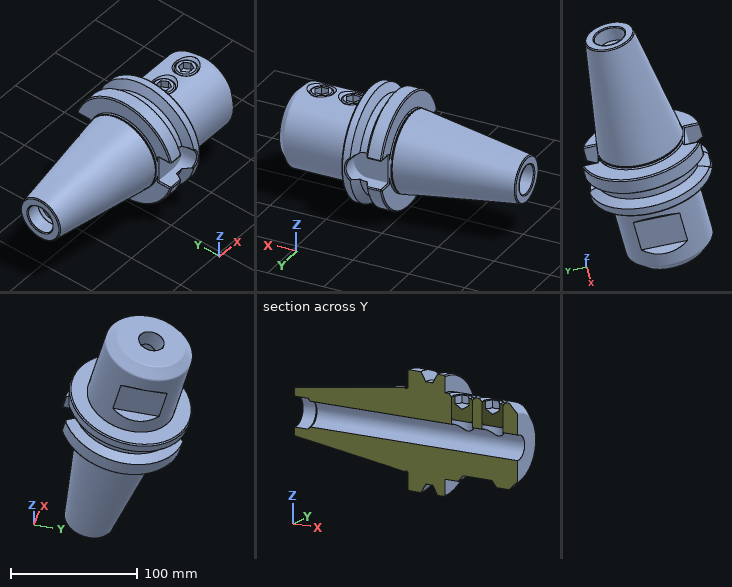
import cadquery as cq
import math

total_length = 206.8
gauge_x = 102.5
flange_start_x = 104.8
flange_end_x = 139.8
groove_centre_x = 125.0
groove_floor_width = 6.2

gauge_diameter = 70.1
neck_diameter = 68.5
flange_diameter = 100.0
groove_diameter = 84.8
nose_diameter = 71.5

taper_ratio = 7 / 24
groove_wall_angle = 30.0
tip_chamfer = 0.8
neck_fillet = 1.0
flange_chamfer = 1.0
nose_chamfer = 7.9
nose_edge_fillet = 1.9

bore_diameter = 20.7
pilot_diameter = 25.0
pilot_depth = 12.8
pilot_mouth_chamfer = 0.8

slot_width = 25.6
slot_floor_y = 35.4
slot_end_x = 136.0
slot_rim_chamfer = 1.0
slot_floor_fillet = 0.6
slot_open_x = gauge_x
edge_tolerance = 0.02

first_screw_x = 155.0
screw_spacing = 28.1
screw_diameter = 19.0
screw_length = 20.0
screw_top_z = 34.3
screw_chamfer = 1.2
countersink_diameter = 24.0
socket_across_flats = 10.8
socket_depth = 6.2
socket_point_angle = 118.0

flat_start_x = 156.1
flat_end_x = 182.6
flat_z = -30.5
flat_run_out = 4.3

flange_radius = flange_diameter / 2
nose_radius = nose_diameter / 2
neck_radius = neck_diameter / 2
gauge_radius = gauge_diameter / 2
tip_radius = gauge_radius - taper_ratio * gauge_x / 2
bore_radius = bore_diameter / 2
screw_radius = screw_diameter / 2
slot_half_width = slot_width / 2
screw_positions_x = [first_screw_x, first_screw_x + screw_spacing]


def revolve_about_x(profile):
    return profile.close().revolve(360, (0, 0, 0), (1, 0, 0))


def make_taper_and_flange():
    groove_radius = groove_diameter / 2
    wall_run = (flange_radius - groove_radius) * math.tan(math.radians(groove_wall_angle))
    floor_start_x = groove_centre_x - groove_floor_width / 2
    floor_end_x = groove_centre_x + groove_floor_width / 2
    profile = (
        cq.Workplane("XY")
        .lineTo(0, tip_radius - tip_chamfer)
        .lineTo(tip_chamfer, tip_radius + tip_chamfer * taper_ratio / 2)
        .lineTo(gauge_x, gauge_radius)
        .lineTo(gauge_x, neck_radius)
        .lineTo(flange_start_x - neck_fillet, neck_radius)
        .tangentArcPoint((flange_start_x, neck_radius + neck_fillet), relative=False)
        .lineTo(flange_start_x, flange_radius - flange_chamfer)
        .lineTo(flange_start_x + flange_chamfer, flange_radius)
        .lineTo(floor_start_x - wall_run, flange_radius)
        .lineTo(floor_start_x, groove_radius)
        .lineTo(floor_end_x, groove_radius)
        .lineTo(floor_end_x + wall_run, flange_radius)
        .lineTo(flange_end_x - flange_chamfer, flange_radius)
        .lineTo(flange_end_x, flange_radius - flange_chamfer)
        .lineTo(flange_end_x, 0)
    )
    return revolve_about_x(profile)


def make_slot_cutter(side):
    """Round-ended slot, open towards -X and outwards; side is -1 or +1 along Y."""
    arc_centre_x = slot_end_x - slot_half_width
    floor_face = "<Y" if side > 0 else ">Y"
    return (
        cq.Workplane("XZ", origin=(0, side * slot_floor_y, 0))
        .moveTo(slot_open_x, slot_half_width)
        .lineTo(arc_centre_x, slot_half_width)
        .threePointArc((slot_end_x, 0), (arc_centre_x, -slot_half_width))
        .lineTo(slot_open_x, -slot_half_width)
        .close()
        .extrude(-side * flange_radius)
        .faces(floor_face).edges().fillet(slot_floor_fillet)
    )


def is_slot_rim(edge):
    """True for slot edges on the flange end face or on the outside of the flange."""
    centre = edge.Center()
    if abs(centre.z) > slot_width:
        return False
    above_floor = abs(centre.y) > slot_floor_y + slot_floor_fillet
    on_end_face = abs(centre.x - flange_start_x) < edge_tolerance
    near_outside = math.hypot(centre.y, centre.z) > flange_radius - flange_chamfer
    return (on_end_face and above_floor) or (near_outside and centre.x < slot_end_x)


def cut_drive_slots(body):
    for side in (-1, 1):
        body = body.cut(make_slot_cutter(side))
    rim_edges = [edge for edge in body.edges().vals() if is_slot_rim(edge)]
    return body.newObject(rim_edges).chamfer(slot_rim_chamfer)


def make_nose():
    return (
        cq.Workplane("YZ", origin=(flange_end_x, 0, 0))
        .circle(nose_radius)
        .extrude(total_length - flange_end_x)
        .faces(">X").edges().chamfer(nose_chamfer)
        .faces("%CONE").edges("%CIRCLE").fillet(nose_edge_fillet)
    )


def make_bore_cutter():
    pilot_radius = pilot_diameter / 2
    profile = (
        cq.Workplane("XY")
        .lineTo(0, pilot_radius + pilot_mouth_chamfer)
        .lineTo(pilot_mouth_chamfer, pilot_radius)
        .lineTo(pilot_depth, pilot_radius)
        .lineTo(pilot_depth + pilot_radius - bore_radius, bore_radius)
        .lineTo(total_length, bore_radius)
        .lineTo(total_length, 0)
    )
    return revolve_about_x(profile)


def make_flat_cutter():
    return (
        cq.Workplane("XZ")
        .moveTo(flat_start_x, flat_z)
        .lineTo(flat_end_x, flat_z)
        .lineTo(flat_end_x + flat_run_out, -nose_radius)
        .lineTo(flat_start_x - flat_run_out, -nose_radius)
        .close()
        .extrude(nose_radius, both=True)
    )


def make_screw_hole_cutter(x):
    """Radial hole from the bore out to the +Z side, with a 45 degree countersink."""
    countersink_radius = countersink_diameter / 2
    return (
        cq.Workplane("XZ", origin=(x, 0, 0))
        .lineTo(screw_radius, 0)
        .lineTo(screw_radius, nose_radius - countersink_radius + screw_radius)
        .lineTo(countersink_radius, nose_radius)
        .lineTo(0, nose_radius)
        .close()
        .revolve(360, (0, 0, 0), (0, 1, 0))
    )


def make_holder():
    body = cut_drive_slots(make_taper_and_flange())
    body = body.union(make_nose())
    body = body.cut(make_bore_cutter()).cut(make_flat_cutter())
    for x in screw_positions_x:
        body = body.cut(make_screw_hole_cutter(x))
    return body


def make_socket_cutter(x):
    """Hexagonal socket that ends in the conical point of its pilot drill."""
    corner_radius = socket_across_flats / 2 / math.cos(math.radians(30))
    point_height = corner_radius / math.tan(math.radians(socket_point_angle / 2))
    full_depth = socket_depth + point_height
    hexagon = (
        cq.Workplane("XY", origin=(x, 0, screw_top_z - full_depth))
        .polygon(6, 2 * corner_radius)
        .extrude(full_depth)
    )
    pointed_drill = (
        cq.Workplane("XZ", origin=(x, 0, screw_top_z))
        .lineTo(corner_radius, 0)
        .lineTo(corner_radius, -socket_depth)
        .lineTo(0, -full_depth)
        .close()
        .revolve(360, (0, 0, 0), (0, 1, 0))
    )
    return hexagon.intersect(pointed_drill)


def make_screw(x):
    return (
        cq.Workplane("XY", origin=(x, 0, screw_top_z - screw_length))
        .circle(screw_radius)
        .extrude(screw_length)
        .edges("%CIRCLE").chamfer(screw_chamfer)
        .cut(make_socket_cutter(x))
    )


holder = make_holder()
clamping_screws = [make_screw(x) for x in screw_positions_x]

result = cq.Compound.makeCompound(
    [holder.solids().val(), *[screw.solids().val() for screw in clamping_screws]]
)